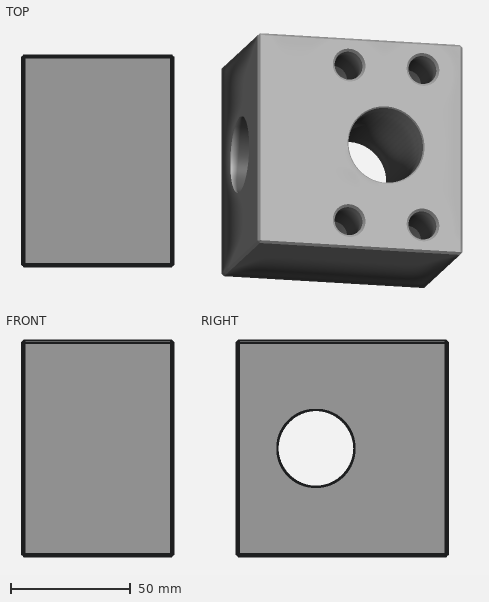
import cadquery as cq
import math

WIDTH = 63.0
LENGTH = 88.0
HEIGHT = 90.0
EDGE_CHAMFER = 1.0

BORE_DIAMETER = 32.0
BORE_CHAMFER = 0.5
BORE_Y = -11.0

BOLT_HOLE_DIAMETER = 12.0
BOLT_MOUTH_DIAMETER = 14.0
BOLT_HOLE_DEPTH = 27.0
DRILL_POINT_ANGLE = 118.0
BOLT_SPACING_Y = 31.8
BOLT_SPACING_Z = 66.7

FACE_X = -WIDTH / 2


def make_block():
    return cq.Workplane("XY").box(WIDTH, LENGTH, HEIGHT).edges().chamfer(EDGE_CHAMFER)


def revolve_about_x(profile):
    """Revolve an XY profile about the X axis."""
    return profile.close().revolve(360, (0, 0, 0), (1, 0, 0))


def make_bore():
    """Through bore with a chamfered mouth in the -X face."""
    radius = BORE_DIAMETER / 2
    mouth_radius = radius + BORE_CHAMFER
    profile = (
        cq.Workplane("XY")
        .moveTo(FACE_X, 0)
        .lineTo(FACE_X, mouth_radius)
        .lineTo(FACE_X + BORE_CHAMFER, radius)
        .lineTo(-FACE_X, radius)
        .lineTo(-FACE_X, 0)
    )
    return revolve_about_x(profile).translate((0, BORE_Y, 0))


def make_cross_port():
    """Port from the +Y face to the bore axis, midway along the bore and equal to it in diameter."""
    port_length = LENGTH / 2 - BORE_Y
    port = cq.Workplane("XZ").circle(BORE_DIAMETER / 2).extrude(-port_length)
    return port.translate((0, BORE_Y, 0))


def make_bolt_hole():
    """Blind drilled hole on the X axis, with a 45 degree mouth and a conical tip."""
    radius = BOLT_HOLE_DIAMETER / 2
    mouth_radius = BOLT_MOUTH_DIAMETER / 2
    tip_length = radius / math.tan(math.radians(DRILL_POINT_ANGLE / 2))
    bottom_x = FACE_X + BOLT_HOLE_DEPTH
    profile = (
        cq.Workplane("XY")
        .moveTo(FACE_X, 0)
        .lineTo(FACE_X, mouth_radius)
        .lineTo(FACE_X + mouth_radius - radius, radius)
        .lineTo(bottom_x, radius)
        .lineTo(bottom_x + tip_length, 0)
    )
    return revolve_about_x(profile)


result = make_block().cut(make_bore()).cut(make_cross_port())

bolt_hole = make_bolt_hole()
for side_y in (-1, 1):
    for side_z in (-1, 1):
        hole_y = BORE_Y + side_y * BOLT_SPACING_Y / 2
        hole_z = side_z * BOLT_SPACING_Z / 2
        result = result.cut(bolt_hole.translate((0, hole_y, hole_z)))